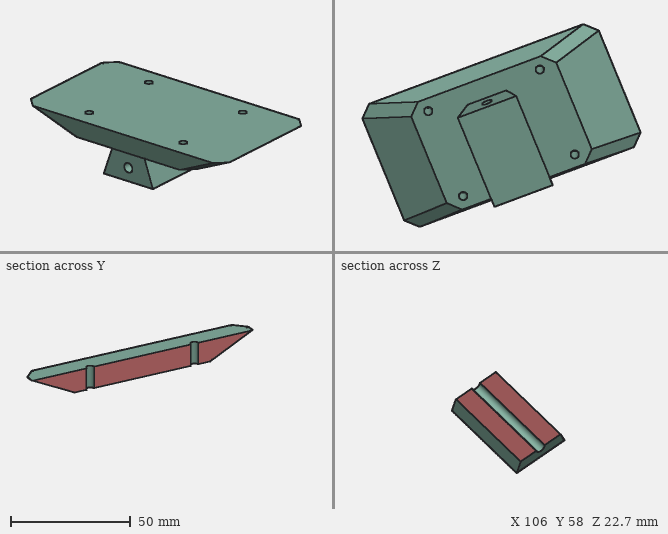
import cadquery as cq
import math

plate_thickness = 10.0
top_length = 106.0
top_width = 58.0
end_taper_angle = 64.0
side_taper_angle = 20.0
bottom_length = top_length - 2 * plate_thickness * math.tan(math.radians(end_taper_angle))
bottom_width = top_width - 2 * plate_thickness * math.tan(math.radians(side_taper_angle))
corner_clip = 5.0

mount_hole_diameter = 3.5
mount_spacing_x = 50.0
mount_spacing_y = 40.0

rail_height = 12.7
rail_neck_width = 17.3
rail_base_width = 26.2
rail_length = 42.0
rail_front_y = -bottom_width / 2
pin_hole_diameter = 4.3
pin_hole_depth_below_plate = 6.5


def clipped_rectangle(length, width, clip, z):
    """Closed wire: a centred rectangle with 45-degree clipped corners at height z."""
    half_x = length / 2
    half_y = width / 2
    points = []
    for sign_x, sign_y in [(1, 1), (-1, 1), (-1, -1), (1, -1)]:
        side_end = (sign_x * half_x, sign_y * (half_y - clip), z)
        edge_end = (sign_x * (half_x - clip), sign_y * half_y, z)
        points += [side_end, edge_end] if sign_x == sign_y else [edge_end, side_end]
    return cq.Wire.makePolygon([cq.Vector(*point) for point in points], close=True)


def make_plate():
    """Ruled loft between the bottom and top outlines; the bottom face lies on z = 0."""
    bottom = clipped_rectangle(bottom_length, bottom_width, corner_clip, 0)
    top = clipped_rectangle(top_length, top_width, corner_clip, plate_thickness)
    return cq.Workplane(obj=cq.Solid.makeLoft([bottom, top], True))


def make_rail():
    """Dovetail prism that widens downward and runs along Y."""
    outline = [
        (-rail_neck_width / 2, 0),
        (rail_neck_width / 2, 0),
        (rail_base_width / 2, -rail_height),
        (-rail_base_width / 2, -rail_height),
    ]
    front_plane = cq.Workplane("XZ", origin=(0, rail_front_y, 0))
    return front_plane.polyline(outline).close().extrude(-rail_length)


def make_mount_holes():
    """Cutters through the full plate thickness."""
    return (
        cq.Workplane("XY")
        .rect(mount_spacing_x, mount_spacing_y, forConstruction=True)
        .vertices()
        .circle(mount_hole_diameter / 2)
        .extrude(plate_thickness)
    )


def make_pin_hole():
    """Cutter along the full length of the rail."""
    return (
        cq.Workplane("XZ", origin=(0, rail_front_y, -pin_hole_depth_below_plate))
        .circle(pin_hole_diameter / 2)
        .extrude(-rail_length)
    )


result = make_plate().union(make_rail()).cut(make_mount_holes()).cut(make_pin_hole())